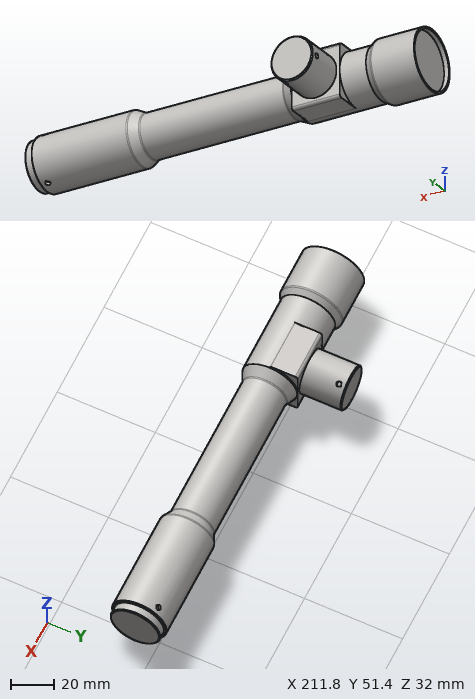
import cadquery as cq
import math

total_length = 211.79
head_end = 23.5
body_start = 27.0
body_end = 67.8
slim_start = 73.4
slim_end = 151.0
grip_start = 156.2
collar_end = 207.5

head_radius = 16.0
body_radius = 14.0
slim_radius = 11.3
spigot_radius = 12.7
spigot_chamfer = 0.5
collar_chamfer = 0.4

taper_fillet = 1.5
rounded_stations = (head_end, slim_start, slim_end, grip_start)

recess_radius = 15.0
recess_depth = 2.5

block_centre_x = 54.1
block_width = 26.0
block_fillet = 1.5

side_tube_radius = 11.25
total_depth = 51.4
side_tube_end = total_depth - head_radius
side_tube_chamfer = 0.6

screw_count = 3
screw_diameter = 2.5
screw_depth = 2.0
screw_end_distance = 4.0
side_screw_y = side_tube_end - screw_end_distance
side_screw_angle = 60.0
collar_screw_x = collar_end - screw_end_distance
collar_screw_angle = 174.5


def main_tube():
    """Stepped tube turned about the X axis, with rounded tapers."""
    profile = [
        (0, 0),
        (0, head_radius),
        (head_end, head_radius),
        (body_start, body_radius),
        (body_end, body_radius),
        (slim_start, slim_radius),
        (slim_end, slim_radius),
        (grip_start, body_radius),
        (collar_end - collar_chamfer, body_radius),
        (collar_end, body_radius - collar_chamfer),
        (collar_end, spigot_radius),
        (total_length - spigot_chamfer, spigot_radius),
        (total_length, spigot_radius - spigot_chamfer),
        (total_length, 0),
    ]
    tube = cq.Workplane("XY").polyline(profile).close().revolve(360, (0, 0, 0), (1, 0, 0))
    for station in rounded_stations:
        edge = tube.edges("%CIRCLE").edges(cq.selectors.NearestToPointSelector((station, 0, 0)))
        tube = edge.fillet(taper_fillet)
    return tube


def front_recess():
    return cq.Workplane("YZ").circle(recess_radius).extrude(recess_depth)


def side_block():
    """Block from the tube axis out to the body radius, with its long outer edges rounded."""
    block = cq.Workplane("XY").box(
        block_width, body_radius, 2 * body_radius, centered=(True, False, True)
    )
    block = block.faces(">Y").edges("|X").fillet(block_fillet)
    return block.translate((block_centre_x, 0, 0))


def side_tube():
    tube = cq.Workplane("XZ").circle(side_tube_radius).extrude(-side_tube_end)
    tube = tube.faces(">Y").chamfer(side_tube_chamfer)
    return tube.translate((block_centre_x, 0, 0))


def radial_hole(centre, direction, tube_radius):
    """Blind hole drilled inward from a tube wall."""
    bottom = centre + direction * (tube_radius - screw_depth)
    return cq.Workplane(cq.Solid.makeCylinder(screw_diameter / 2, 2 * screw_depth, bottom, direction))


def screw_angles(first_angle):
    """Angles of the equally spaced holes, in radians."""
    return [math.radians(first_angle + index * 360 / screw_count) for index in range(screw_count)]


def drill_side_tube(body):
    centre = cq.Vector(block_centre_x, side_screw_y, 0)
    for angle in screw_angles(side_screw_angle):
        direction = cq.Vector(math.cos(angle), 0, math.sin(angle))
        body = body.cut(radial_hole(centre, direction, side_tube_radius))
    return body


def drill_collar(body):
    centre = cq.Vector(collar_screw_x, 0, 0)
    for angle in screw_angles(collar_screw_angle):
        direction = cq.Vector(0, math.cos(angle), math.sin(angle))
        body = body.cut(radial_hole(centre, direction, body_radius))
    return body


part = main_tube().cut(front_recess())
part = part.union(side_block()).union(side_tube())
part = drill_side_tube(part)
part = drill_collar(part)

result = part